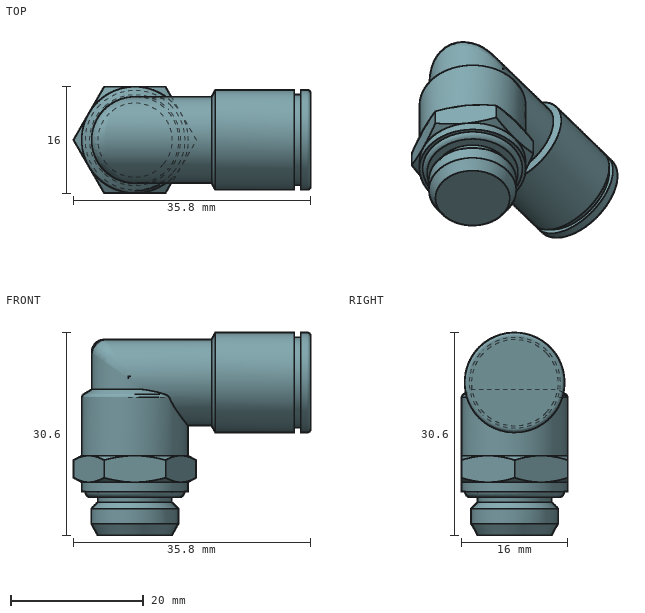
import cadquery as cq
import math


overall_length = 35.75
overall_height = 30.55
hex_across_flats = 16.0
hex_corner_radius = hex_across_flats / math.sqrt(3)
end_x = overall_length - hex_corner_radius

thread_radius = 13.15 / 2
neck_radius = 11.2 / 2
tip_chamfer_top = 1.8
thread_top = 4.05
neck_bottom = 5.0
hex_bottom = 8.0
hex_top = 12.0
hex_chamfer_height = 0.68
flange_radius = hex_across_flats / 2

seal_bottom = 5.72
seal_top = 6.58
seal_radius = 15.0 / 2
seal_bottom_radius = 13.7 / 2
seal_bulge = 0.1

tube_radius = 13.0 / 2
collar_radius = 15.1 / 2
hose_z = overall_height - collar_radius
corner_fillet = 1.95
rounded_half_width = 6.45
shoulder_radius = flange_radius
shoulder_round_bottom = 20.8
shoulder_cone_bottom = 21.25
shoulder_cone_radius = 7.7
shoulder_bulge = 0.05
shoulder_top = 21.98
collar_start_x = 11.55
collar_chamfer_end_x = 12.1
collar_end_x = 24.0

ring_radius = collar_radius
ring_neck_radius = 13.7 / 2
ring_flange_x = 24.95
ring_edge_round = 0.57


def cylinder_along_x(radius, start_x, finish_x):
    """Solid cylinder on the hose axis."""
    plane = cq.Workplane("YZ", origin=(start_x, 0, hose_z))
    return plane.circle(radius).extrude(finish_x - start_x)


def revolve_about_z(profile):
    """Turn a closed (radius, z) outline around the stud axis."""
    return profile.close().revolve(360, (0, 0), (0, 1))


def make_hexagon():
    """Hexagon with corners on the X axis, chamfered at both ends."""
    hexagon = (
        cq.Workplane("XY", origin=(0, 0, hex_bottom))
        .polygon(6, 2 * hex_corner_radius)
        .extrude(hex_top - hex_bottom)
    )
    chamfer_envelope = revolve_about_z(
        cq.Workplane("XZ").polyline([
            (0, hex_bottom),
            (flange_radius, hex_bottom),
            (hex_corner_radius, hex_bottom + hex_chamfer_height),
            (hex_corner_radius, hex_top - hex_chamfer_height),
            (flange_radius, hex_top),
            (0, hex_top),
        ])
    )
    return hexagon.intersect(chamfer_envelope)


def make_stud():
    """Plain thread body, neck and flange below the hexagon."""
    turned = revolve_about_z(
        cq.Workplane("XZ").polyline([
            (0, 0),
            (neck_radius, 0),
            (thread_radius, tip_chamfer_top),
            (thread_radius, thread_top),
            (neck_radius, neck_bottom),
            (neck_radius, seal_top),
            (flange_radius, seal_top),
            (flange_radius, hex_bottom),
            (0, hex_bottom),
        ])
    )
    return turned.union(make_hexagon())


def make_seal():
    """Ring around the neck, with a bulging outer edge."""
    edge_middle = (
        (seal_radius + seal_bottom_radius) / 2 + seal_bulge,
        (seal_top + seal_bottom) / 2 - seal_bulge,
    )
    return revolve_about_z(
        cq.Workplane("XZ")
        .moveTo(neck_radius, seal_bottom)
        .lineTo(seal_bottom_radius, seal_bottom)
        .threePointArc(edge_middle, (seal_radius, seal_top))
        .lineTo(neck_radius, seal_top)
    )


def make_mitred_tube():
    """Vertical and horizontal tubes joined in a 45 degree mitre."""
    upright_plane = cq.Workplane("XY", origin=(0, 0, hex_top))
    lower_leg = upright_plane.circle(tube_radius).extrude(hose_z - hex_top)
    tall_leg = upright_plane.circle(tube_radius).extrude(overall_height - hex_top)
    corner = tall_leg.intersect(cylinder_along_x(tube_radius, -collar_start_x, collar_start_x))
    side_leg = cylinder_along_x(tube_radius, 0, collar_start_x)
    return corner.union(side_leg).union(lower_leg)


def make_rounded_tube():
    """Mitred tube with the outer edge of its corner rounded."""
    sharp_tube = make_mitred_tube()
    middle = cq.Workplane("XY").box(2 * overall_length, 2 * rounded_half_width, 2 * overall_length)
    outer_edge = cq.selectors.BoxSelector(
        (-tube_radius, -tube_radius, hose_z), (0, tube_radius, hose_z + tube_radius)
    )
    rounded_middle = sharp_tube.intersect(middle).edges("%ELLIPSE").edges(outer_edge).fillet(corner_fillet)
    return rounded_middle.union(sharp_tube.cut(middle))


def make_shoulder():
    """Thick lower sleeve with a rounded conical top."""
    round_middle = (
        (shoulder_radius + shoulder_cone_radius) / 2 + shoulder_bulge,
        (shoulder_round_bottom + shoulder_cone_bottom) / 2 + shoulder_bulge,
    )
    return revolve_about_z(
        cq.Workplane("XZ")
        .moveTo(0, hex_top)
        .lineTo(shoulder_radius, hex_top)
        .lineTo(shoulder_radius, shoulder_round_bottom)
        .threePointArc(round_middle, (shoulder_cone_radius, shoulder_cone_bottom))
        .lineTo(tube_radius, shoulder_top)
        .lineTo(0, shoulder_top)
    )


def make_collar():
    """Wide hose end with a chamfer on its inner side."""
    chamfer_length = collar_chamfer_end_x - collar_start_x
    chamfer_depth = collar_radius - tube_radius
    collar = cylinder_along_x(collar_radius, collar_start_x, collar_end_x)
    return collar.faces("<X").chamfer(chamfer_length, chamfer_depth)


def make_elbow():
    return make_rounded_tube().union(make_shoulder()).union(make_collar())


def make_release_ring():
    """Narrow neck against the collar, and a flange with a rounded end."""
    neck = cylinder_along_x(ring_neck_radius, collar_end_x, ring_flange_x)
    flange = cylinder_along_x(ring_radius, ring_flange_x, end_x)
    return neck.union(flange.faces(">X").edges().fillet(ring_edge_round))


stud = make_stud()
seal = make_seal()
elbow = make_elbow()
release_ring = make_release_ring()

result = cq.Compound.makeCompound([stud.val(), seal.val(), elbow.val(), release_ring.val()])